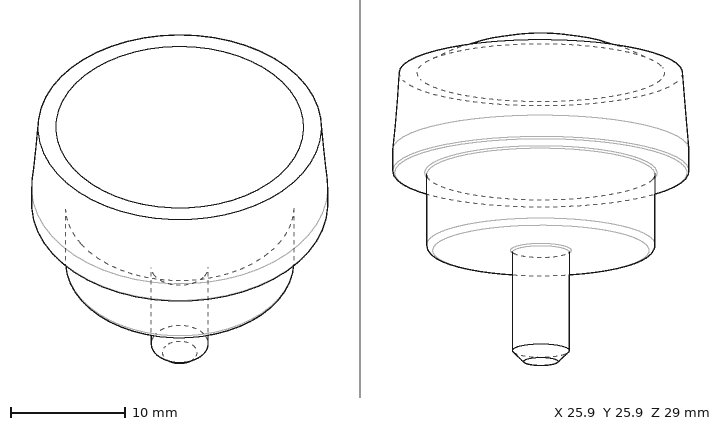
import cadquery as cq

body_bottom = 10.0
flange_bottom = 17.0
taper_bottom = 19.08
rim_height = 26.0
dome_top = 29.0

stem_radius = 5.0 / 2
body_radius = 20.0 / 2
flange_radius = 25.95 / 2
rim_radius = 12.4
dome_radius = 10.85

tip_chamfer = 1.0
body_fillet = 0.52
small_fillet = 0.17

dome_height = dome_top - rim_height
sphere_radius = (dome_radius**2 + dome_height**2) / (2 * dome_height)
sphere_center = dome_top - sphere_radius

match_tolerance = 0.003


def turn_knob():
    """Stem, body, flange, tapered cap and dome as one sharp-edged turned solid about Z."""
    arc_radius = dome_radius / 2
    arc_height = sphere_center + (sphere_radius**2 - arc_radius**2) ** 0.5
    return (
        cq.Workplane("XZ")
        .lineTo(stem_radius - tip_chamfer, 0)
        .lineTo(stem_radius, tip_chamfer)
        .lineTo(stem_radius, body_bottom)
        .lineTo(body_radius, body_bottom)
        .lineTo(body_radius, flange_bottom)
        .lineTo(flange_radius, flange_bottom)
        .lineTo(flange_radius, taper_bottom)
        .lineTo(rim_radius, rim_height)
        .lineTo(dome_radius, rim_height)
        .threePointArc((arc_radius, arc_height), (0, dome_top))
        .close()
        .revolve(360, (0, 0, 0), (0, 1, 0))
    )


def fillet_ring(solid, ring_radius, height, fillet):
    """Round the circular edge that has the given radius and height."""

    def is_ring(edge):
        return (
            edge.geomType() == "CIRCLE"
            and abs(edge.radius() - ring_radius) < match_tolerance
            and abs(edge.Center().z - height) < match_tolerance
        )

    return solid.edges().filter(is_ring).fillet(fillet)


result = turn_knob()
result = fillet_ring(result, body_radius, body_bottom, body_fillet)
result = fillet_ring(result, flange_radius, flange_bottom, small_fillet)
result = fillet_ring(result, stem_radius, body_bottom, small_fillet)
result = fillet_ring(result, body_radius, flange_bottom, small_fillet)